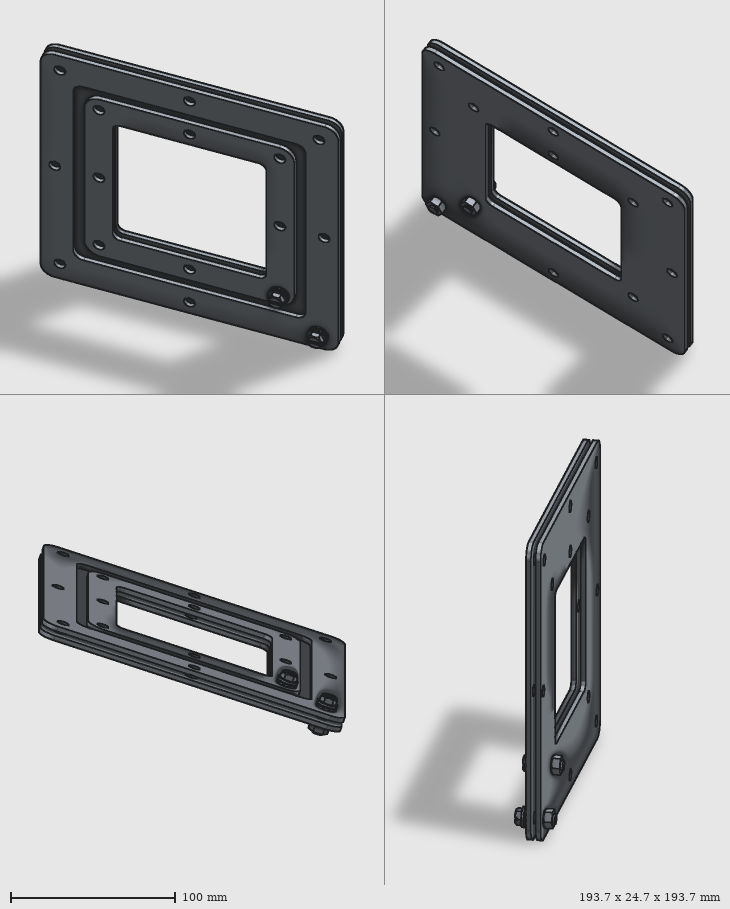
import cadquery as cq
import math

OUTER_SIDE = 193.7
OUTER_CORNER_RADIUS = 9.1
FRAME_WINDOW_SIDE = 151.0
FRAME_WINDOW_RADIUS = 6.5
INNER_SIDE = 136.4
INNER_CORNER_RADIUS = 10.0
OPENING_SIDE = 100.0
OPENING_RADIUS = 5.0
SHEET_THICKNESS = 3.1
SHEET_GAP = 3.0

HOLE_DIAMETER = 7.2
OUTER_CORNER_OFFSET = 84.3
OUTER_MIDDLE_OFFSET = 87.5
INNER_SPACING = 117.5
INNER_OFFSET = INNER_SPACING / 2
BACK_PLATE_TOP_HOLE_DROP = 0.5

SHANK_DIAMETER = 6.4
COLLAR_DIAMETER = 12.8
COLLAR_THICKNESS = 1.5
HEXAGON_SIDES = 6
HEXAGON_HALF_ANGLE = 180.0 / HEXAGON_SIDES
HEAD_ACROSS_FLATS = 9.3
HEAD_HEIGHT = 4.3
HEAD_TIP_DIAMETER = 8.5
HEAD_CHAMFER_ANGLE = 45.0
SLOT_WIDTH = 2.0
SLOT_WALL_DEPTH = 1.4
SLOT_DEPTH = 2.1
NUT_ACROSS_FLATS = 10.7
NUT_HEIGHT = 5.6
NUT_SEAT_DIAMETER = 10.0
NUT_CHAMFER_ANGLE = 45.0
SHANK_PROTRUSION = 1.4
WASHER_STANDOFF = 0.68
WASHER_THICKNESS = 1.5
WASHER_COLLAR_GAP = 0.48
WASHER_BORE = 6.5
WASHER_DIAMETER = 12.8
TOOTH_COUNT = 10
TOOTH_GAP_WIDTH = 1.2
TOOTH_GAP_DEPTH = 2.1

BACK_PLATE_FRONT = SHEET_THICKNESS + SHEET_GAP
BACK_PLATE_BACK = BACK_PLATE_FRONT + SHEET_THICKNESS
SHANK_END = BACK_PLATE_BACK + NUT_HEIGHT + SHANK_PROTRUSION
WASHER_FRONT = -(WASHER_STANDOFF + WASHER_THICKNESS)
COLLAR_BACK = WASHER_FRONT - WASHER_COLLAR_GAP
HEAD_BACK = COLLAR_BACK - COLLAR_THICKNESS
HEAD_FRONT = HEAD_BACK - HEAD_HEIGHT

CORNER_DIRECTIONS = [(-1, -1), (-1, 1), (1, -1), (1, 1)]
MIDDLE_DIRECTIONS = [(-1, 0), (1, 0), (0, -1), (0, 1)]
OUTER_HOLES = [(OUTER_CORNER_OFFSET * i, OUTER_CORNER_OFFSET * k) for i, k in CORNER_DIRECTIONS]
OUTER_HOLES += [(OUTER_MIDDLE_OFFSET * i, OUTER_MIDDLE_OFFSET * k) for i, k in MIDDLE_DIRECTIONS]
INNER_CORNER_HOLES = [(INNER_OFFSET * i, INNER_OFFSET * k) for i, k in CORNER_DIRECTIONS]
INNER_MIDDLE_HOLES = [(INNER_OFFSET * i, INNER_OFFSET * k) for i, k in MIDDLE_DIRECTIONS]
BACK_PLATE_TOP_HOLE = (0, INNER_OFFSET - BACK_PLATE_TOP_HOLE_DROP)
SCREW_PLACES = [(INNER_OFFSET, -INNER_OFFSET), (OUTER_CORNER_OFFSET, -OUTER_CORNER_OFFSET)]


def plane_at(y):
    """XZ plane at the given Y with its normal toward -Y, so negative extrusions run toward the back."""
    return cq.Workplane(cq.Plane(origin=(0, y, 0), xDir=(1, 0, 0), normal=(0, -1, 0)))


def rounded_square(side, radius, front, depth):
    """Square block with rounded corners, from Y = front back over the depth."""
    return plane_at(front).rect(side, side).extrude(-depth).edges("|Y").fillet(radius)


def cylinder(diameter, front, back):
    """Round bar along Y from front to back."""
    return plane_at(front).circle(diameter / 2).extrude(front - back)


def hexagon(across_flats, front, back):
    """Hexagonal prism with two corners on the X axis."""
    across_corners = across_flats / math.cos(math.radians(HEXAGON_HALF_ANGLE))
    return plane_at(front).polygon(HEXAGON_SIDES, across_corners).extrude(front - back)


def sheet(side, radius, window_side, window_radius, front):
    """Square sheet with a rounded window."""
    body = rounded_square(side, radius, front, SHEET_THICKNESS)
    return body.cut(rounded_square(window_side, window_radius, front, SHEET_THICKNESS))


def hole_cutters(places, front):
    """Round cutters through one sheet at the given places."""
    return plane_at(front).pushPoints(places).circle(HOLE_DIAMETER / 2).extrude(-SHEET_THICKNESS)


def chamfer_cone(tip_diameter, angle, tip, base):
    """Cone widening from Y = tip to Y = base at the given angle from the Y axis."""
    height = abs(base - tip)
    tip_radius = tip_diameter / 2
    base_radius = tip_radius + height * math.tan(math.radians(angle))
    direction = cq.Vector(0, math.copysign(1, base - tip), 0)
    cone = cq.Solid.makeCone(tip_radius, base_radius, height, cq.Vector(0, tip, 0), direction)
    return cq.Workplane(cone)


def slot():
    """Driver slot along X: parallel walls with a V-shaped floor."""
    half_width = SLOT_WIDTH / 2
    wall_end = HEAD_FRONT + SLOT_WALL_DEPTH
    profile = [
        (HEAD_FRONT, -half_width),
        (wall_end, -half_width),
        (HEAD_FRONT + SLOT_DEPTH, 0),
        (wall_end, half_width),
        (HEAD_FRONT, half_width),
    ]
    return cq.Workplane("YZ").polyline(profile).close().extrude(HEAD_ACROSS_FLATS, both=True)


def make_screw():
    """Slotted hexagon head with a round collar on a plain shank."""
    head = hexagon(HEAD_ACROSS_FLATS, HEAD_FRONT, HEAD_BACK)
    head = head.intersect(chamfer_cone(HEAD_TIP_DIAMETER, HEAD_CHAMFER_ANGLE, HEAD_FRONT, HEAD_BACK))
    collar = cylinder(COLLAR_DIAMETER, HEAD_BACK, COLLAR_BACK)
    shank = cylinder(SHANK_DIAMETER, COLLAR_BACK, SHANK_END)
    return head.cut(slot()).union(collar).union(shank)


def make_washer():
    """Flat ring with evenly spaced gaps around its rim."""
    ring = cylinder(WASHER_DIAMETER, WASHER_FRONT, -WASHER_STANDOFF)
    ring = ring.cut(cylinder(WASHER_BORE, WASHER_FRONT, -WASHER_STANDOFF))
    gap_radius = WASHER_DIAMETER / 2
    gaps = (
        plane_at(WASHER_FRONT)
        .polarArray(gap_radius, 0, 360, TOOTH_COUNT)
        .rect(2 * TOOTH_GAP_DEPTH, TOOTH_GAP_WIDTH)
        .extrude(-WASHER_THICKNESS)
    )
    return ring.cut(gaps)


def make_nut():
    """Hexagon nut with its seating end chamfered and a plain bore."""
    back = BACK_PLATE_BACK + NUT_HEIGHT
    nut = hexagon(NUT_ACROSS_FLATS, BACK_PLATE_BACK, back)
    nut = nut.intersect(chamfer_cone(NUT_SEAT_DIAMETER, NUT_CHAMFER_ANGLE, BACK_PLATE_BACK, back))
    return nut.cut(cylinder(SHANK_DIAMETER, BACK_PLATE_BACK, back))


back_plate = (
    sheet(OUTER_SIDE, OUTER_CORNER_RADIUS, OPENING_SIDE, OPENING_RADIUS, BACK_PLATE_FRONT)
    .cut(hole_cutters(OUTER_HOLES + INNER_CORNER_HOLES + [BACK_PLATE_TOP_HOLE], BACK_PLATE_FRONT))
)
outer_frame = (
    sheet(OUTER_SIDE, OUTER_CORNER_RADIUS, FRAME_WINDOW_SIDE, FRAME_WINDOW_RADIUS, 0)
    .cut(hole_cutters(OUTER_HOLES, 0))
)
inner_frame = (
    sheet(INNER_SIDE, INNER_CORNER_RADIUS, OPENING_SIDE, OPENING_RADIUS, 0)
    .cut(hole_cutters(INNER_CORNER_HOLES + INNER_MIDDLE_HOLES, 0))
)

fasteners = []
for x, z in SCREW_PLACES:
    for body in (make_screw(), make_washer(), make_nut()):
        fasteners.append(body.translate((x, 0, z)).val())

result = cq.Compound.makeCompound([back_plate.val(), outer_frame.val(), inner_frame.val(), *fasteners])